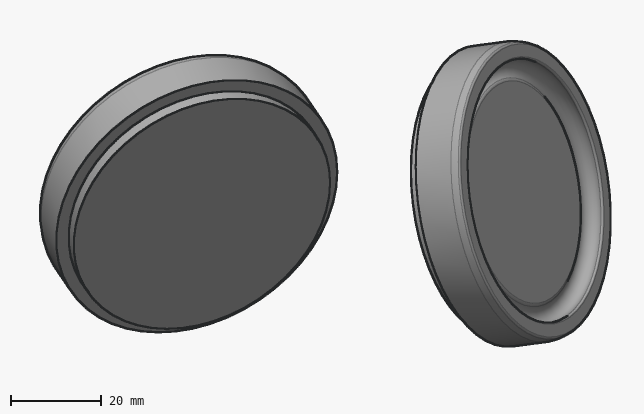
import cadquery as cq
import math

total_length = 14.0
body_radius = 66.9 / 2
spigot_radius = 61.0 / 2
spigot_length = 3.0

taper_length = 2.0
taper_angle = math.radians(15)
edge_round = 0.5

groove_circle_radius = 27.15
groove_round = 2.45
mouth_radius = 29.7
mouth_round = 0.4
disc_flat_radius = 24.7
disc_edge_round = 1.0

body_length = total_length - spigot_length
front_radius = body_radius - taper_length * math.tan(taper_angle)

mouth_center = (mouth_round, mouth_radius)
groove_depth_from_mouth = math.sqrt(
    (groove_round + mouth_round) ** 2 - (mouth_radius - groove_circle_radius) ** 2
)
groove_center = (mouth_round + groove_depth_from_mouth, groove_circle_radius)
disc_depth_from_groove = math.sqrt(
    (groove_round + disc_edge_round) ** 2 - (groove_circle_radius - disc_flat_radius) ** 2
)
disc_round_center = (groove_center[0] + disc_depth_from_groove, disc_flat_radius)
disc_depth = disc_round_center[0] - disc_edge_round


def direction(start, end):
    """Angle of the line from start to end."""
    return math.atan2(end[1] - start[1], end[0] - start[0])


def circle_point(center, radius, angle):
    """Point on a circle given by its center, radius and angle."""
    return (center[0] + radius * math.cos(angle), center[1] + radius * math.sin(angle))


def revolve_about_x(profile):
    """Close an (x, radius) profile back to the origin and revolve it around the X axis."""
    return profile.close().revolve(360, (0, 0, 0), (1, 0, 0))


def make_body():
    """Stepped disc with a tapered, rounded front edge."""
    profile = (
        cq.Workplane("XY")
        .lineTo(0, front_radius)
        .lineTo(taper_length, body_radius)
        .lineTo(body_length, body_radius)
        .lineTo(body_length, spigot_radius)
        .lineTo(total_length, spigot_radius)
        .lineTo(total_length, 0)
    )
    return revolve_about_x(profile).faces("<X").edges().fillet(edge_round)


def make_recess():
    """Volume removed from the front: flat disc, its rounded edge, groove and rounded mouth."""
    to_disc = direction(groove_center, disc_round_center)
    to_mouth = direction(groove_center, mouth_center)
    disc_tangent = circle_point(groove_center, groove_round, to_disc)
    mouth_tangent = circle_point(groove_center, groove_round, to_mouth)
    groove_middle = circle_point(groove_center, groove_round, (to_disc + to_mouth) / 2)

    disc_round_middle = circle_point(disc_round_center, disc_edge_round, math.pi + to_disc / 2)
    mouth_round_middle = circle_point(mouth_center, mouth_round, math.pi + to_mouth / 2)

    profile = (
        cq.Workplane("XY")
        .lineTo(disc_depth, 0)
        .lineTo(disc_depth, disc_flat_radius)
        .threePointArc(disc_round_middle, disc_tangent)
        .threePointArc(groove_middle, mouth_tangent)
        .threePointArc(mouth_round_middle, (0, mouth_radius))
    )
    return revolve_about_x(profile)


result = make_body().cut(make_recess())